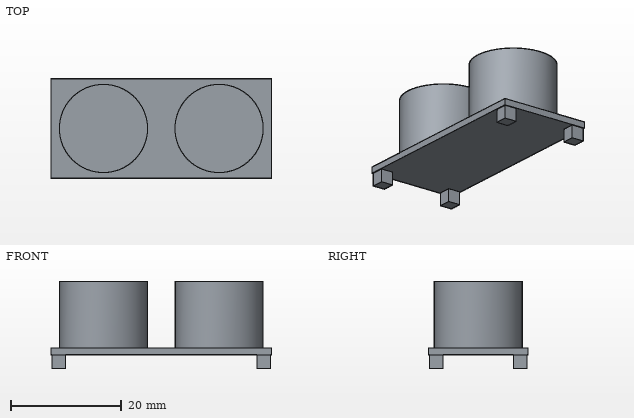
import cadquery as cq

plate_length = 40.0
plate_width = 18.1
plate_thickness = 1.25

foot_side = 2.5
foot_height = 2.5
foot_inset = 0.15

cylinder_diameter = 16.0
cylinder_spacing = 20.95
total_height = 15.85
cylinder_height = total_height - foot_height - plate_thickness

foot_pitch_x = plate_length - 2 * foot_inset - foot_side
foot_pitch_y = plate_width - 2 * foot_inset - foot_side

plate = cq.Workplane("XY").box(
    plate_length, plate_width, plate_thickness, centered=(True, True, False)
)

cylinders = (
    cq.Workplane("XY", origin=(0, 0, plate_thickness))
    .rarray(cylinder_spacing, 0.4, 2, 1)
    .circle(cylinder_diameter / 2)
    .extrude(cylinder_height)
)

feet = (
    cq.Workplane("XY")
    .rarray(foot_pitch_x, foot_pitch_y, 2, 2)
    .rect(foot_side, foot_side)
    .extrude(-foot_height)
)

result = plate.union(cylinders).union(feet)